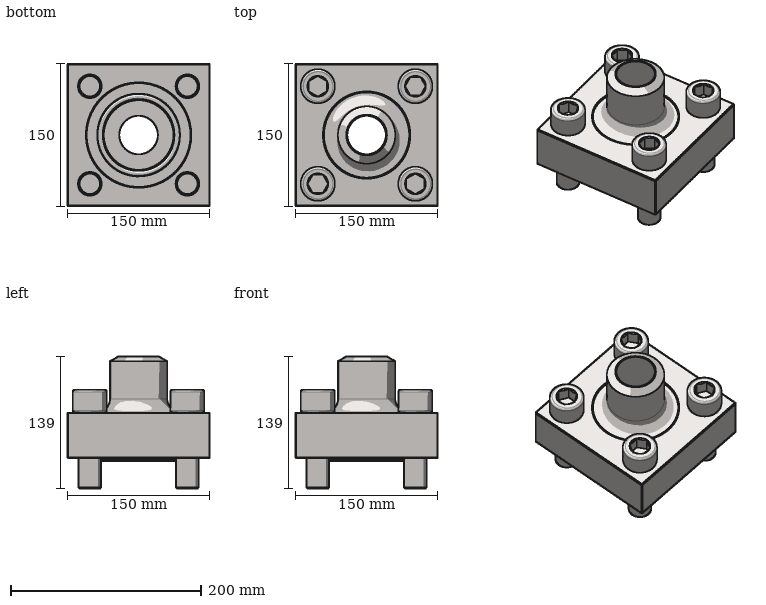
import cadquery as cq
import math

flange_side = 150.0
flange_height = 48.0
flange_chamfer = 1.0
flange_bore_diameter = 90.0
flange_bore_chamfer = 1.0
counterbore_diameter = 111.0
counterbore_depth = 20.0

neck_bore_diameter = 40.3
pipe_diameter = 60.3
sleeve_diameter = 89.5
collar_diameter = 110.0
collar_projection = 2.0
collar_chamfer = 0.5
neck_length_above_flange = 59.0
neck_top = flange_height + neck_length_above_flange
bevel_land = 1.3
bevel_angle = 30.0
root_radius = (sleeve_diameter - pipe_diameter) / 2

seal_inner_diameter = 75.57
seal_section = 5.33
seal_projection = 1.4
groove_outer_diameter = 87.3
groove_width = 7.1
groove_depth = seal_section - seal_projection
groove_inner_diameter = groove_outer_diameter - 2 * groove_width

screw_count = 4
bolt_circle_diameter = 145.0
first_screw_angle = 45.0
screw_diameter = 24.0
screw_hole_diameter = 25.0
screw_length = 80.0
screw_end_chamfer = 1.3
head_diameter = 36.0
head_height = screw_diameter
head_top_radius = 2.4
head_bottom_radius = 2.4
socket_width = 19.0
socket_corner_diameter = socket_width / math.cos(math.radians(30))
socket_depth = 15.0
socket_lead_in_angle = 45.0


def make_flange():
    """Square block with edge chamfers, stepped centre bore and screw holes."""
    block = (
        cq.Workplane("XY")
        .box(flange_side, flange_side, flange_height, centered=(True, True, False))
        .edges()
        .chamfer(flange_chamfer)
    )
    bore = cq.Workplane("XY").circle(flange_bore_diameter / 2).extrude(flange_height)
    counterbore = cq.Workplane("XY").circle(counterbore_diameter / 2).extrude(counterbore_depth)
    holes = (
        cq.Workplane("XY")
        .polarArray(bolt_circle_diameter / 2, first_screw_angle, 360, screw_count)
        .circle(screw_hole_diameter / 2)
        .extrude(flange_height)
    )
    block = block.cut(bore)
    rim = block.faces(">Z").edges("%CIRCLE")
    block = rim.chamfer(flange_bore_chamfer)
    return block.cut(counterbore).cut(holes)


def make_neck():
    """Revolved weld neck with a concave root, a welding bevel and a seal groove."""
    bore_radius = neck_bore_diameter / 2
    pipe_radius = pipe_diameter / 2
    sleeve_radius = sleeve_diameter / 2
    collar_radius = collar_diameter / 2
    bevel_radius = bore_radius + bevel_land
    bevel_height = (pipe_radius - bevel_radius) * math.tan(math.radians(bevel_angle))
    root_top = flange_height + root_radius
    root_middle = root_radius * math.sin(math.radians(45))
    neck = (
        cq.Workplane("XZ")
        .moveTo(bore_radius, -collar_projection)
        .lineTo(collar_radius - collar_chamfer, -collar_projection)
        .lineTo(collar_radius, collar_chamfer - collar_projection)
        .lineTo(collar_radius, counterbore_depth)
        .lineTo(sleeve_radius, counterbore_depth)
        .lineTo(sleeve_radius, flange_height)
        .threePointArc((sleeve_radius - root_middle, root_top - root_middle), (pipe_radius, root_top))
        .lineTo(pipe_radius, neck_top - bevel_height)
        .lineTo(bevel_radius, neck_top)
        .lineTo(bore_radius, neck_top)
        .close()
        .revolve(360, (0, 0, 0), (0, 1, 0))
    )
    groove = (
        cq.Workplane("XY", origin=(0, 0, -collar_projection))
        .circle(groove_outer_diameter / 2)
        .circle(groove_inner_diameter / 2)
        .extrude(groove_depth)
    )
    return neck.cut(groove)


def make_seal():
    """Round-section ring that rests on the groove floor."""
    ring_radius = (seal_inner_diameter + seal_section) / 2
    ring_height = groove_depth - collar_projection - seal_section / 2
    return (
        cq.Workplane("XZ")
        .center(ring_radius, ring_height)
        .circle(seal_section / 2)
        .revolve(360, (-ring_radius, 0, 0), (-ring_radius, 1, 0))
    )


def make_screw():
    """Socket head screw on the Z axis with its head seated on the flange.

    The hexagon is turned back by the first screw's angle, so that screw gets
    two socket corners in line with X once it sits on the bolt circle.
    """
    head = (
        cq.Workplane("XY", origin=(0, 0, flange_height))
        .circle(head_diameter / 2)
        .extrude(head_height)
    )
    head = head.faces(">Z").edges().fillet(head_top_radius)
    head = head.faces("<Z").edges().fillet(head_bottom_radius)
    shank = (
        cq.Workplane("XY", origin=(0, 0, flange_height - screw_length))
        .circle(screw_diameter / 2)
        .extrude(screw_length)
        .faces("<Z")
        .chamfer(screw_end_chamfer)
    )
    head_top = flange_height + head_height
    socket = (
        cq.Workplane("XY", origin=(0, 0, head_top - socket_depth))
        .polygon(6, socket_corner_diameter)
        .extrude(socket_depth)
        .rotate((0, 0, 0), (0, 0, 1), -first_screw_angle)
    )
    corner_radius = socket_corner_diameter / 2
    lead_in = (
        cq.Workplane("XZ")
        .moveTo(0, head_top)
        .lineTo(corner_radius, head_top)
        .lineTo(0, head_top - corner_radius * math.tan(math.radians(socket_lead_in_angle)))
        .close()
        .revolve(360, (0, 0, 0), (0, 1, 0))
    )
    return head.union(shank).cut(socket).cut(lead_in)


def make_screws():
    """Copies of the screw turned about the Z axis onto the bolt circle."""
    first_screw = make_screw().translate((bolt_circle_diameter / 2, 0, 0))
    screws = []
    for index in range(screw_count):
        angle = first_screw_angle + index * 360 / screw_count
        screws.append(first_screw.rotate((0, 0, 0), (0, 0, 1), angle))
    return screws


flange = make_flange()
neck = make_neck()
seal = make_seal()
screws = make_screws()

result = cq.Compound.makeCompound(
    [flange.val(), neck.val(), seal.val(), *[screw.val() for screw in screws]]
)